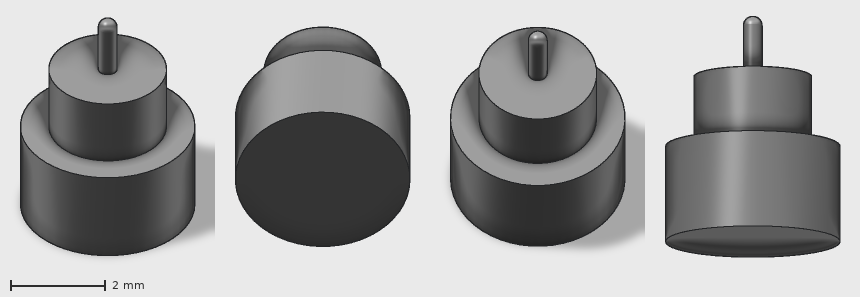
import cadquery as cq

total_height = 4.85
base_diameter = 3.7
base_height = 2.05
collar_diameter = 2.5
collar_height = 1.5
insulator_diameter = 1.95
pin_diameter = 0.403

pin_radius = pin_diameter / 2
collar_top = base_height + collar_height
tip_center = total_height - pin_radius


def cylinder(diameter, bottom, top):
    """Vertical cylinder on the Z axis between two heights."""
    return cq.Workplane("XY").workplane(offset=bottom).circle(diameter / 2).extrude(top - bottom)


base = cylinder(base_diameter, 0, base_height)
insulator = cylinder(insulator_diameter, base_height, collar_top)
collar = cylinder(collar_diameter, base_height, collar_top).cut(insulator)

shaft = cylinder(pin_diameter, collar_top, tip_center)
tip = cq.Workplane("XY").sphere(pin_radius).translate((0, 0, tip_center))
pin = shaft.union(tip)

result = base.union(collar).union(pin.union(insulator), clean=False)